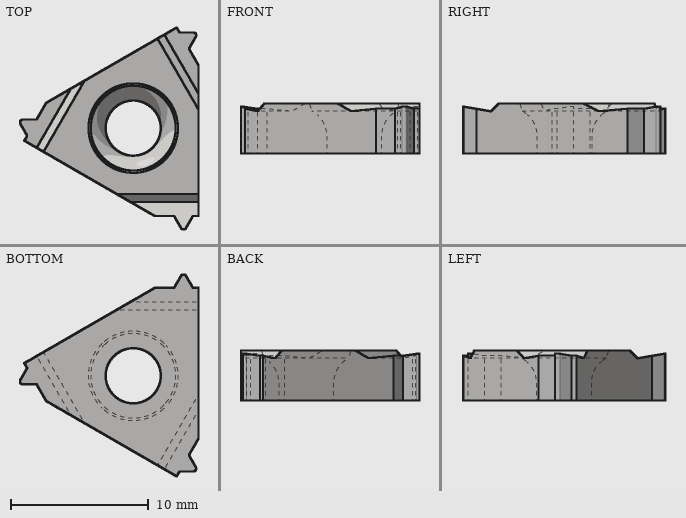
import cadquery as cq
import math

THICKNESS = 3.65
CORNERS = 3
SIDE_DISTANCE = 4.75
SHOULDER_DISTANCE = 6.4

TOOTH_CENTER = 3.65
TOOTH_HEIGHT = 0.97
TIP_RADIUS = 0.22
HALF_ANGLE = math.radians(30)

GROOVE_START = 4.78
GROOVE_BOTTOM = 5.35
GROOVE_DEPTH = 0.57
RAKE_SLOPE = math.tan(math.radians(9.6))

MOUTH_RADIUS = 3.25
SEAT_RADIUS = 3.08
BORE_RADIUS = 2.0
MOUTH_DEPTH = 0.56
BORE_TOP_DEPTH = 2.38

CLEARANCE = 1.47


def tooth_body():
    """One tooth on the -Y side, with flanks tangent to its round tip."""
    tip_y = -SHOULDER_DISTANCE - TOOTH_HEIGHT
    apex_y = tip_y + TIP_RADIUS - TIP_RADIUS / math.sin(HALF_ANGLE)
    root_half = (-SHOULDER_DISTANCE - apex_y) * math.tan(HALF_ANGLE)
    tangent_x = TIP_RADIUS * math.cos(HALF_ANGLE)
    tangent_y = tip_y + TIP_RADIUS - TIP_RADIUS * math.sin(HALF_ANGLE)
    return (
        cq.Workplane("XY")
        .moveTo(TOOTH_CENTER - root_half, -SHOULDER_DISTANCE)
        .lineTo(TOOTH_CENTER - tangent_x, tangent_y)
        .threePointArc((TOOTH_CENTER, tip_y), (TOOTH_CENTER + tangent_x, tangent_y))
        .lineTo(TOOTH_CENTER + root_half, -SHOULDER_DISTANCE)
        .lineTo(TOOTH_CENTER + root_half, -GROOVE_BOTTOM)
        .lineTo(TOOTH_CENTER - root_half, -GROOVE_BOTTOM)
        .close()
        .extrude(THICKNESS)
    )


def triangle_body():
    """Triangle bounded by the long sides, with its corners cut at the shoulders."""
    shoulder_left = (SHOULDER_DISTANCE * math.cos(HALF_ANGLE) - SIDE_DISTANCE) / math.sin(HALF_ANGLE)
    points = []
    for corner in range(CORNERS):
        turn = -2 * math.pi * corner / CORNERS
        for x in (SIDE_DISTANCE, shoulder_left):
            points.append((
                x * math.cos(turn) + SHOULDER_DISTANCE * math.sin(turn),
                x * math.sin(turn) - SHOULDER_DISTANCE * math.cos(turn),
            ))
    return cq.Workplane("XY").polyline(points).close().extrude(THICKNESS)


def groove_cutter():
    """Material above the groove of the -Y corner, extruded along the corner's width."""
    end = SHOULDER_DISTANCE + TOOTH_HEIGHT + CLEARANCE
    floor_z = THICKNESS - GROOVE_DEPTH
    end_z = floor_z + (end - GROOVE_BOTTOM) * RAKE_SLOPE
    return (
        cq.Workplane("YZ")
        .moveTo(-GROOVE_START, THICKNESS)
        .lineTo(-GROOVE_BOTTOM, floor_z)
        .lineTo(-end, end_z)
        .lineTo(-end, THICKNESS + CLEARANCE)
        .lineTo(-GROOVE_START, THICKNESS + CLEARANCE)
        .close()
        .extrude(SIDE_DISTANCE + CLEARANCE, both=True)
    )


def screw_hole():
    """Revolved hole whose curved seat runs tangent into the bore."""
    seat_z = THICKNESS - MOUTH_DEPTH
    bore_z = THICKNESS - BORE_TOP_DEPTH
    seat_width = SEAT_RADIUS - BORE_RADIUS
    seat_height = seat_z - bore_z
    arc_radius = (seat_width**2 + seat_height**2) / (2 * seat_width)
    half_sweep = math.asin(seat_height / arc_radius) / 2
    arc_middle = (
        BORE_RADIUS + arc_radius * (1 - math.cos(half_sweep)),
        bore_z + arc_radius * math.sin(half_sweep),
    )
    return (
        cq.Workplane("XZ")
        .lineTo(BORE_RADIUS, 0)
        .lineTo(BORE_RADIUS, bore_z)
        .threePointArc(arc_middle, (SEAT_RADIUS, seat_z))
        .lineTo(MOUTH_RADIUS, THICKNESS)
        .lineTo(0, THICKNESS)
        .close()
        .revolve(360, (0, 0, 0), (0, 1, 0))
    )


def at_corner(shape, corner):
    """Turn a shape from the -Y corner to the given corner."""
    return shape.rotate((0, 0, 0), (0, 0, 1), 360 * corner / CORNERS)


body = triangle_body()
for corner in range(CORNERS):
    body = body.union(at_corner(tooth_body(), corner))
for corner in range(CORNERS):
    body = body.cut(at_corner(groove_cutter(), corner))

result = body.cut(screw_hole())